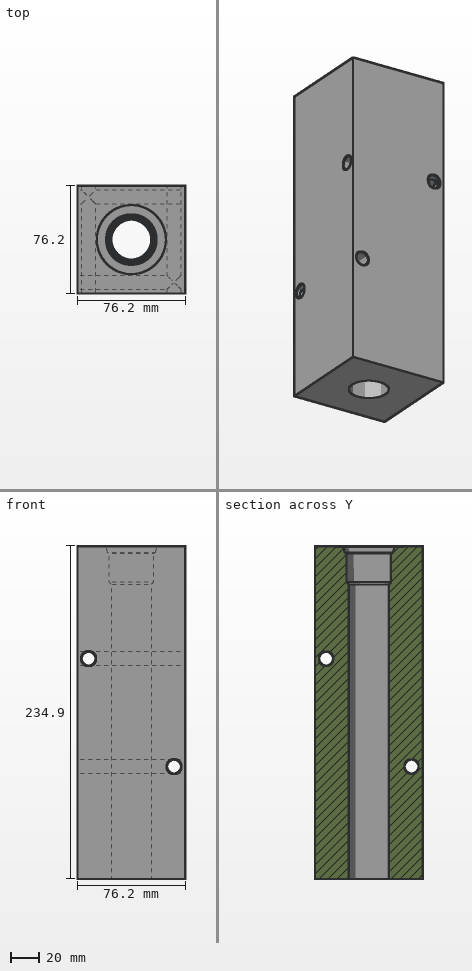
import cadquery as cq

BLOCK_WIDTH = 76.2
BLOCK_HEIGHT = 234.95
HALF_WIDTH = BLOCK_WIDTH / 2

BORE_DIAMETER = 28.2
SPOTFACE_DIAMETER = 48.8
SPOTFACE_DEPTH = 0.4
SEAT_MOUTH_DIAMETER = 35.7
SEAT_FLOOR_DIAMETER = 34.0
SEAT_DEPTH = 3.9
PORT_DIAMETER = 31.3
PORT_CHAMFER_DEPTH = 0.9
PORT_DEPTH = 25.0
PORT_FLOOR_CONE_HEIGHT = (PORT_DIAMETER - BORE_DIAMETER) / 2

CROSS_HOLE_DIAMETER = 9.8
CROSS_HOLE_MOUTH_DIAMETER = 10.7
CROSS_HOLE_CHAMFER = (CROSS_HOLE_MOUTH_DIAMETER - CROSS_HOLE_DIAMETER) / 2
CROSS_HOLE_EDGE_DISTANCE = 7.9375
CROSS_HOLE_END_DISTANCE = 79.375
CROSS_HOLE_OFFSET = HALF_WIDTH - CROSS_HOLE_EDGE_DISTANCE
UPPER_HOLE_Z = BLOCK_HEIGHT - CROSS_HOLE_END_DISTANCE
LOWER_HOLE_Z = CROSS_HOLE_END_DISTANCE


def make_port_cutter():
    """Through bore, port, tapered seal seat and spotface as one revolved shape."""
    spotface_z = BLOCK_HEIGHT - SPOTFACE_DEPTH
    seat_floor_z = spotface_z - SEAT_DEPTH
    port_floor_z = spotface_z - PORT_DEPTH
    return (
        cq.Workplane("XZ")
        .moveTo(0, 0)
        .lineTo(BORE_DIAMETER / 2, 0)
        .lineTo(BORE_DIAMETER / 2, port_floor_z - PORT_FLOOR_CONE_HEIGHT)
        .lineTo(PORT_DIAMETER / 2, port_floor_z)
        .lineTo(PORT_DIAMETER / 2, seat_floor_z - PORT_CHAMFER_DEPTH)
        .lineTo(SEAT_FLOOR_DIAMETER / 2, seat_floor_z)
        .lineTo(SEAT_MOUTH_DIAMETER / 2, spotface_z)
        .lineTo(SPOTFACE_DIAMETER / 2, spotface_z)
        .lineTo(SPOTFACE_DIAMETER / 2, BLOCK_HEIGHT)
        .lineTo(0, BLOCK_HEIGHT)
        .close()
        .revolve(360, (0, 0), (0, 1))
    )


def make_cross_hole_cutter():
    """Hole along Y through the full width, chamfered at both mouths, centred on the origin."""
    hole_radius = CROSS_HOLE_DIAMETER / 2
    mouth_radius = CROSS_HOLE_MOUTH_DIAMETER / 2
    chamfer_floor_y = HALF_WIDTH - CROSS_HOLE_CHAMFER
    return (
        cq.Workplane("XY")
        .moveTo(0, -HALF_WIDTH)
        .lineTo(mouth_radius, -HALF_WIDTH)
        .lineTo(hole_radius, -chamfer_floor_y)
        .lineTo(hole_radius, chamfer_floor_y)
        .lineTo(mouth_radius, HALF_WIDTH)
        .lineTo(0, HALF_WIDTH)
        .close()
        .revolve(360, (0, 0), (0, 1))
    )


block = cq.Workplane("XY").box(BLOCK_WIDTH, BLOCK_WIDTH, BLOCK_HEIGHT, centered=(True, True, False))
result = block.cut(make_port_cutter())

cross_hole = make_cross_hole_cutter()
for offset, height in ((-CROSS_HOLE_OFFSET, UPPER_HOLE_Z), (CROSS_HOLE_OFFSET, LOWER_HOLE_Z)):
    hole_along_y = cross_hole.translate((offset, 0, height))
    hole_along_x = hole_along_y.rotate((0, 0, 0), (0, 0, 1), -90)
    result = result.cut(hole_along_y).cut(hole_along_x)